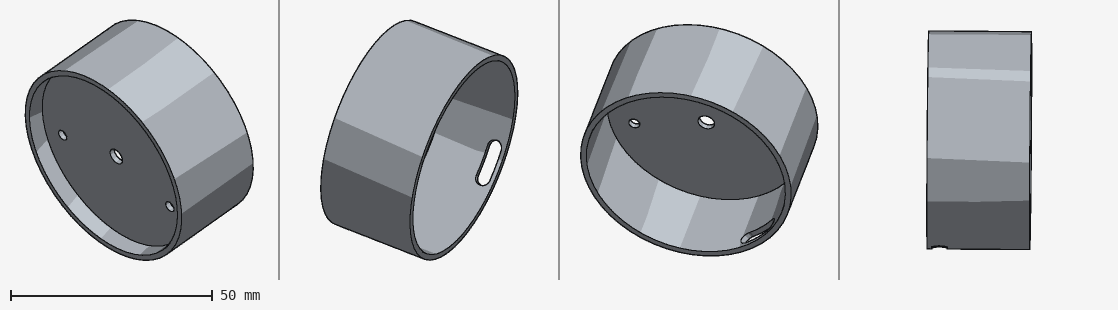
import cadquery as cq

outer_diameter = 54.0
inner_diameter = 51.0
length = 25.4

front_recess_depth = 4.55
plate_thickness = 1.5
rear_cavity_depth = length - front_recess_depth - plate_thickness

center_hole_diameter = 4.2
screw_hole_diameter = 2.8
screw_hole_x = 18.45
screw_hole_z = -4.9

slot_width = 3.85
slot_length = 11.8
slot_center_from_back = 3.1
slot_angle = 45.0


def cylinder_along_y(diameter, start_y, depth, x=0.0, z=0.0):
    """Solid cylinder running from start_y toward +Y."""
    return cq.Workplane(
        cq.Solid.makeCylinder(diameter / 2, depth, cq.Vector(x, start_y, z), cq.Vector(0, 1, 0))
    )


def cable_slot():
    """Radial cutter reaching from the axis out past the wall, its long side around the wall."""
    return (
        cq.Workplane("YZ", origin=(0, length - slot_center_from_back, 0))
        .slot2D(slot_length, slot_width, 90)
        .extrude(-outer_diameter)
        .rotate((0, 0, 0), (0, 1, 0), -slot_angle)
    )


body = cylinder_along_y(outer_diameter, 0, length)
body = body.cut(cylinder_along_y(inner_diameter, 0, front_recess_depth))
body = body.cut(cylinder_along_y(inner_diameter, length - rear_cavity_depth, rear_cavity_depth))

body = body.cut(cylinder_along_y(center_hole_diameter, 0, length))
for x in (-screw_hole_x, screw_hole_x):
    body = body.cut(cylinder_along_y(screw_hole_diameter, 0, length, x, screw_hole_z))

result = body.cut(cable_slot()).translate((0, -length / 2, 0))